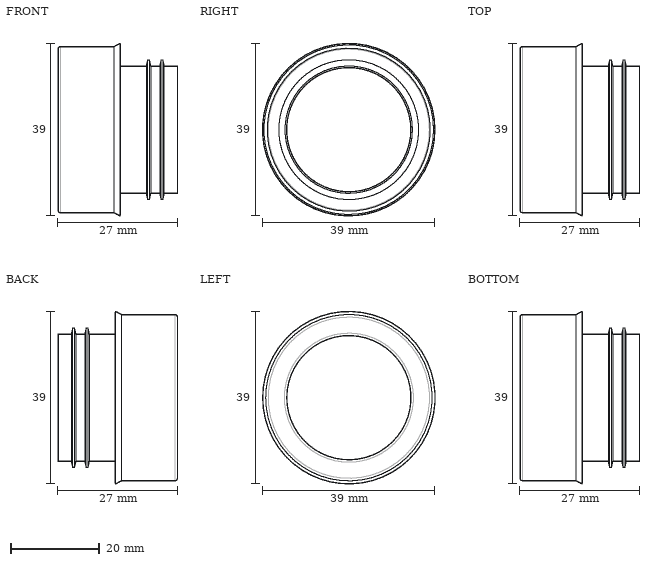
import cadquery as cq
import math

total_length = 27.0
wall = 0.4
tube_radius = 28.8 / 2
bore_radius = tube_radius - wall
collar_radius = 37.6 / 2
collar_inner_radius = collar_radius - wall
fold_outer_round = 0.6
fold_inner_round = fold_outer_round - wall

lip_radius = 39 / 2
lip_start = 12.65
lip_tip = 13.95
lip_angle = math.atan2(lip_radius - collar_radius, lip_tip - lip_start)

rib_radius = 31.6 / 2
rib_base_width = 1.0
rib_crest_width = 0.4
rib_centres = (20.45, 23.48)


def revolve_about_x(profile):
    return profile.close().revolve(360, (0, 0, 0), (1, 0, 0))


def make_tube():
    """Straight tube running the full length."""
    return (
        cq.Workplane("YZ")
        .circle(tube_radius)
        .circle(bore_radius)
        .extrude(total_length)
    )


def make_collar():
    """Front wall and outer sleeve, ending in a lip of the same wall thickness."""
    lip_end = (
        lip_tip + wall * math.sin(lip_angle),
        lip_radius - wall * math.cos(lip_angle),
    )
    inner_bend = lip_start + wall * math.tan(lip_angle / 2)
    return revolve_about_x(
        cq.Workplane("XY")
        .moveTo(0, bore_radius)
        .lineTo(0, collar_radius)
        .lineTo(lip_start, collar_radius)
        .lineTo(lip_tip, lip_radius)
        .lineTo(*lip_end)
        .lineTo(inner_bend, collar_inner_radius)
        .lineTo(wall, collar_inner_radius)
        .lineTo(wall, bore_radius)
    )


def round_folds(body):
    """Round both folds of the front wall, keeping the wall thickness even."""
    rounded = body.faces("<X").edges().fillet(fold_outer_round)
    inside_of_fold = cq.selectors.BoxSelector(
        (wall / 2, -lip_radius, -lip_radius),
        (wall * 3 / 2, lip_radius, lip_radius),
        boundingbox=True,
    )
    return rounded.edges("%CIRCLE").edges(inside_of_fold).fillet(fold_inner_round)


def make_rib(centre):
    """Tapered sealing rib, rooted halfway into the tube wall."""
    root_radius = (bore_radius + tube_radius) / 2
    half_base = rib_base_width / 2
    half_crest = rib_crest_width / 2
    return revolve_about_x(
        cq.Workplane("XY")
        .moveTo(centre - half_base, root_radius)
        .lineTo(centre - half_base, tube_radius)
        .lineTo(centre - half_crest, rib_radius)
        .lineTo(centre + half_crest, rib_radius)
        .lineTo(centre + half_base, tube_radius)
        .lineTo(centre + half_base, root_radius)
    )


result = round_folds(make_tube().union(make_collar()))
for rib_centre in rib_centres:
    result = result.union(make_rib(rib_centre))